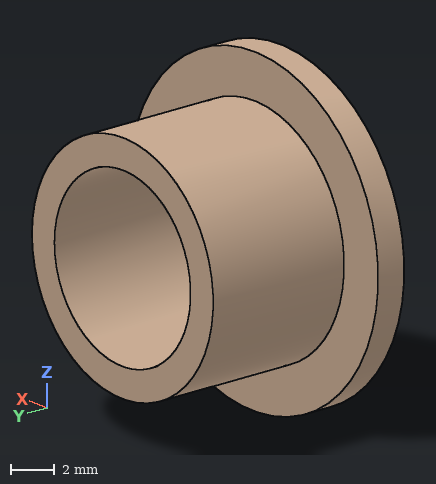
import cadquery as cq

flange_diameter = 17.46
flange_thickness = 1.59
body_diameter = 12.7
bore_diameter = 9.53
total_length = 9.53


def cylinder_along_y(diameter, length):
    """Cylinder centred on the Y axis, running from Y = 0 toward +Y."""
    return cq.Workplane("XZ").circle(diameter / 2).extrude(-length)


flange = cylinder_along_y(flange_diameter, flange_thickness)
body = cylinder_along_y(body_diameter, total_length)
bore = cylinder_along_y(bore_diameter, total_length)

result = flange.union(body).cut(bore)